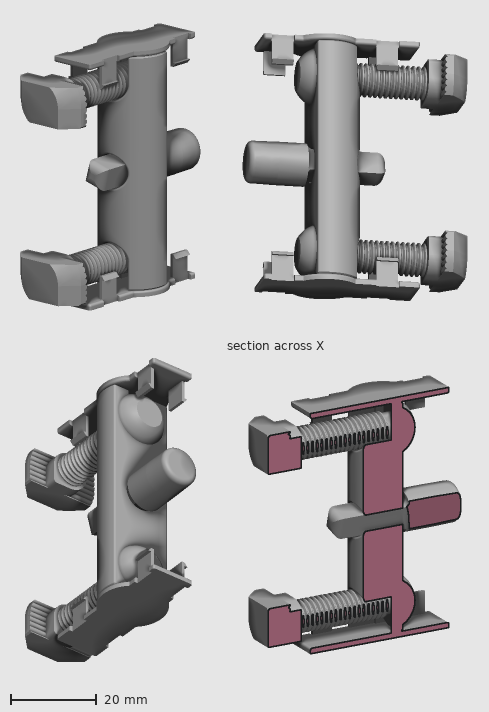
import cadquery as cq
import math


tube_radius = 8.35
tube_flat_y = 3.2
tube_flat_fillet = 0.5
tube_end_chamfer = 0.35

overall_height = 59.8
plate_thickness = 1.45
plate_half_width = 5.75
plate_back_y = 15.55
plate_front_y = -21.65
plate_lobe_radius = 8.5
plate_corner_fillet = 0.5
plate_edge_fillet = 0.6
plate_inner_z = overall_height / 2 - plate_thickness

clip_centers_y = (11.0, -14.0)
clip_width = 5.1
clip_notch_width = 5.5
clip_inset = 0.85
clip_thickness = 0.75
clip_ledge_z = 23.8
clip_tip_z = 22.8

hole_radius = 4.2
slot_rear_half_width = 3.7
hole_edge_fillet = 0.45

screw_z = 21.5
thread_pitch = 1.25
thread_radius = 4.0
thread_root_radius = 3.45
thread_crest = 0.3
thread_flank = (thread_radius - thread_root_radius) * math.tan(math.radians(30))
thread_count = 19
head_base_y = 2.1
head_top_y = 6.5
head_top_radius = 3.7
dome_center_y = 0.23
dome_radius = math.hypot(head_top_radius, head_top_y - dome_center_y)

nut_half_length = 9.5
nut_half_height = 4.85
nut_front_y = -32.92
nut_depth = 6.0
nut_back_y = nut_front_y + nut_depth
nut_bevel_width = 3.75
nut_bevel_depth = 3.95
nut_corner_chamfer = 0.4
collar_depth = 3.0
collar_back_y = nut_back_y + collar_depth
collar_radius = nut_half_height
collar_corner_fillet = 1.0
tooth_pitch = 1.4
tooth_height = 0.6
tooth_rows = 8
last_crest_gap = 0.4
last_crest_y = collar_back_y + last_crest_gap

pin_tip_y = -14.3
pin_end_y = 18.74
pin_corner_radius = 4.0
pin_side = pin_corner_radius * math.sqrt(2)
pin_angle = 15
pin_tip_fillet = 2.1
knob_base_y = 4.75
knob_taper_y = 11.8
knob_radius = 5.1
knob_end_radius = 5.0
knob_fillet = 1.3
shank_fillet = 1.3
flare_limit_radius = 4.6


def along_y(start_y, end_y, outline):
    """Extrude an outline, drawn with X and Z as its axes, from start_y to end_y."""
    plane = cq.Workplane("XZ", origin=(0, start_y, 0))
    return outline(plane).extrude(start_y - end_y)


def box(x_range, y_range, z_range):
    """Box spanning the given ranges."""
    size = [r[1] - r[0] for r in (x_range, y_range, z_range)]
    corner = (x_range[0], y_range[0], z_range[0])
    return cq.Workplane("XY").box(*size, centered=False).translate(corner)


def revolve_about_y(sketch):
    return sketch.close().revolve(360, (0, 0, 0), (0, 1, 0))


def make_slot(side, half_width, y_range):
    """Slot with a round inner end at a screw, open at the tube's upper (1) or lower (-1) end."""
    round_end = along_y(*y_range, lambda plane: plane.center(0, side * screw_z).circle(half_width))
    z_range = sorted((side * screw_z, side * overall_height / 2))
    return round_end.union(box((-half_width, half_width), y_range, z_range))


def make_tube():
    """D-shaped bar with a pin hole and two screw slots open at the ends."""
    tube = cq.Workplane("XY").circle(tube_radius).extrude(2 * plate_inner_z)
    tube = tube.translate((0, 0, -plate_inner_z))
    reach = 2 * tube_radius
    tube = tube.cut(box((-reach, reach), (tube_flat_y, reach), (-reach * 2, reach * 2)))
    tube = tube.edges("|Z").fillet(tube_flat_fillet)
    tube = tube.faces("<Z or >Z").edges().chamfer(tube_end_chamfer)

    tube = tube.cut(along_y(-reach, reach, lambda plane: plane.circle(hole_radius)))
    for side in (1, -1):
        tube = tube.cut(make_slot(side, hole_radius, (-reach, 0)))
        tube = tube.cut(make_slot(side, slot_rear_half_width, (0, reach)))

    mouth_z = plate_inner_z - tube_end_chamfer
    mouth = cq.selectors.BoxSelector(
        (-tube_radius, -reach, -mouth_z), (tube_radius, -tube_radius / 2, mouth_z))
    return tube.edges(mouth).fillet(hole_edge_fillet)


def make_plate():
    """Top end plate with a round lobe over the tube and four snap clips."""
    plate = box((-plate_half_width, plate_half_width), (plate_front_y, plate_back_y), (0, plate_thickness))
    plate = plate.edges("|Z").fillet(plate_corner_fillet)
    plate = plate.union(cq.Workplane("XY").circle(plate_lobe_radius).extrude(plate_thickness))
    plate = plate.faces("<Z").edges().fillet(plate_edge_fillet)
    plate = plate.translate((0, 0, plate_inner_z))

    wall_x = plate_half_width - clip_inset
    inner_x = wall_x - clip_thickness
    top_z = overall_height / 2
    for center_y in clip_centers_y:
        clip_y = (center_y - clip_width / 2, center_y + clip_width / 2)
        notch_y = (center_y - clip_notch_width / 2, center_y + clip_notch_width / 2)
        for side in (1, -1):
            notch_x = sorted((side * wall_x, side * tube_radius))
            plate = plate.cut(box(notch_x, notch_y, (plate_inner_z, top_z)))
            section = [(inner_x, top_z), (wall_x, top_z), (wall_x, clip_ledge_z),
                       (plate_half_width, clip_ledge_z), (wall_x, clip_tip_z), (inner_x, clip_tip_z)]
            points = [(side * x, z) for x, z in section]
            clip = along_y(*clip_y, lambda plane: plane.polyline(points).close())
            plate = plate.union(clip)
    return plate


def make_screw():
    """Button-head screw on the Y axis; the thread is a stack of ring grooves."""
    sketch = cq.Workplane("XY").moveTo(0, nut_front_y).lineTo(thread_root_radius, nut_front_y)
    half_crest = thread_crest / 2
    for index in range(thread_count):
        crest_y = last_crest_y + index * thread_pitch
        sketch = sketch.lineTo(thread_root_radius, crest_y - half_crest - thread_flank)
        sketch = sketch.lineTo(thread_radius, crest_y - half_crest)
        sketch = sketch.lineTo(thread_radius, crest_y + half_crest)
        sketch = sketch.lineTo(thread_root_radius, crest_y + half_crest + thread_flank)
    sketch = sketch.lineTo(thread_root_radius, head_base_y)

    dome_base_radius = math.sqrt(dome_radius ** 2 - (head_base_y - dome_center_y) ** 2)
    middle_y = (head_base_y + head_top_y) / 2
    dome_middle_radius = math.sqrt(dome_radius ** 2 - (middle_y - dome_center_y) ** 2)
    sketch = sketch.lineTo(dome_base_radius, head_base_y)
    sketch = sketch.threePointArc((dome_middle_radius, middle_y), (head_top_radius, head_top_y))
    return revolve_about_y(sketch.lineTo(0, head_top_y))


def join_quadrants(round_body, square_body):
    """Take round_body where X and Z have the same sign, square_body elsewhere."""
    reach = 2 * nut_half_length
    y_range = (nut_front_y, collar_back_y)
    quadrants = []
    for x_side in (1, -1):
        for z_side in (1, -1):
            quadrant = box(sorted((0, x_side * reach)), y_range, sorted((0, z_side * nut_half_height)))
            body = round_body if x_side == z_side else square_body
            quadrants.append(body.intersect(quadrant))
    joined = quadrants[0]
    for quadrant in quadrants[1:]:
        joined = joined.union(quadrant)
    return joined.clean()


def make_tooth_block():
    """Block whose back face carries rows of rounded teeth running along X."""
    start_z = -tooth_rows / 2 * tooth_pitch
    valley_y = nut_back_y - tooth_height
    sketch = cq.Workplane("YZ").moveTo(nut_front_y, start_z).lineTo(valley_y, start_z)
    for row in range(tooth_rows):
        valley_z = start_z + row * tooth_pitch
        crest = (nut_back_y, valley_z + tooth_pitch / 2)
        sketch = sketch.threePointArc(crest, (valley_y, valley_z + tooth_pitch))
    return sketch.lineTo(nut_front_y, -start_z).close().extrude(nut_half_length, both=True)


def make_nut():
    """Quarter-turn hammer nut with a toothed back face and a collar."""
    front_half_length = nut_half_length - nut_bevel_width
    bevel_y = nut_front_y + nut_bevel_depth
    half_profile = [(0, nut_front_y), (front_half_length, nut_front_y), (nut_half_length, bevel_y),
                    (nut_half_length, nut_back_y), (0, nut_back_y)]
    round_wings = revolve_about_y(cq.Workplane("XY").polyline(half_profile))
    square_profile = cq.Workplane("XY").polyline(half_profile).close().mirrorY()
    square_wings = square_profile.extrude(nut_half_height, both=True)
    corner_blank = along_y(nut_front_y, nut_back_y,
                           lambda plane: plane.rect(2 * nut_half_length, 2 * nut_half_height))
    corner_blank = corner_blank.edges("|Y").chamfer(nut_corner_chamfer)
    wings = join_quadrants(round_wings, square_wings.intersect(corner_blank)).intersect(make_tooth_block())

    base_y = nut_back_y - nut_depth / 2
    round_collar = along_y(base_y, collar_back_y, lambda plane: plane.circle(collar_radius))
    square_collar = along_y(base_y, collar_back_y,
                            lambda plane: plane.rect(2 * collar_radius, 2 * collar_radius))
    square_collar = square_collar.edges("|Y").fillet(collar_corner_fillet)
    return wings.union(join_quadrants(round_collar, square_collar))


def make_clamp():
    """Tube, end plates, screws and nuts as one solid."""
    clamp = make_tube()
    plate = make_plate()
    clamp = clamp.union(plate, clean=False).union(plate.mirror("XY"), clean=False)
    fastener = make_nut().union(make_screw(), clean=False)
    for side in (1, -1):
        clamp = clamp.union(fastener.translate((0, 0, side * screw_z)), clean=False)
    return clamp


def make_shank_bar():
    """Bar along Y, rounded over at its tip and flared at the knob on its two X sides."""
    half = pin_side / 2
    land = half - pin_tip_fillet
    shoulder_y = pin_tip_y + pin_tip_fillet
    tip_bend = pin_tip_fillet * math.sin(math.radians(45))
    flare_half = half + shank_fillet
    flare_y = knob_base_y - shank_fillet
    flare_bend = shank_fillet * math.sin(math.radians(45))
    sketch = (
        cq.Workplane("XY").moveTo(-flare_half, knob_base_y)
        .threePointArc((-flare_half + flare_bend, flare_y + flare_bend), (-half, flare_y))
        .lineTo(-half, shoulder_y)
        .threePointArc((-land - tip_bend, shoulder_y - tip_bend), (-land, pin_tip_y)).lineTo(land, pin_tip_y)
        .threePointArc((land + tip_bend, shoulder_y - tip_bend), (half, shoulder_y)).lineTo(half, flare_y)
        .threePointArc((flare_half - flare_bend, flare_y + flare_bend), (flare_half, knob_base_y))
    )
    return sketch.close().extrude(flare_half, both=True)


def make_pin():
    """Square shank with a rounded tip, flared into a round knob."""
    bar = make_shank_bar()
    shank = bar.intersect(bar.rotate((0, 0, 0), (0, 1, 0), 90))
    shank = shank.intersect(along_y(pin_tip_y, knob_base_y, lambda plane: plane.circle(flare_limit_radius)))
    shank = shank.rotate((0, 0, 0), (0, 1, 0), pin_angle)

    fillet_y = pin_end_y - knob_fillet
    bend = knob_fillet * math.sin(math.radians(45))
    fillet_center_x = knob_end_radius - knob_fillet
    knob = revolve_about_y(
        cq.Workplane("XY").moveTo(0, knob_base_y).lineTo(knob_radius, knob_base_y)
        .lineTo(knob_radius, knob_taper_y).lineTo(knob_end_radius, fillet_y)
        .threePointArc((fillet_center_x + bend, fillet_y + bend), (fillet_center_x, pin_end_y))
        .lineTo(0, pin_end_y)
    )
    return knob.union(shank)


clamp = make_clamp()
locking_pin = make_pin()
result = cq.Compound.makeCompound([clamp.val(), locking_pin.val()])